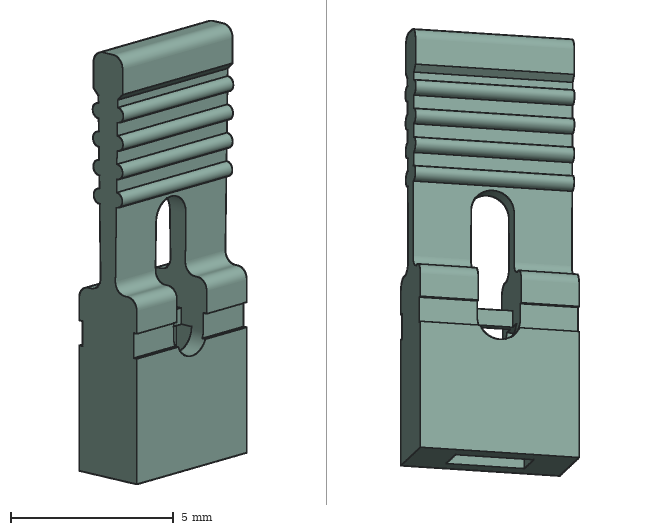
import cadquery as cq
import math

height = 13.5
width = 5.05
base_half = 2.39 / 2

groove_bottom = 4.0
groove_top = 4.79
groove_depth = 0.14
shoulder_top = 5.9
shoulder_radius = 0.38
neck_radius = 0.39

blade_half_low = 0.31
blade_half_high = 0.4
blade_low = shoulder_top + neck_radius
blade_high = 12.1

head_half = 0.61
head_low = 12.3
head_radius = 0.39

rib_count = 4
rib_radius = 0.24
rib_first = 8.9
rib_pitch = 0.9

slot_width = 1.36
slot_bottom = 3.59
slot_top = 8.52
bar_thickness = 0.3
bar_bottom = slot_bottom + slot_width / 2

cavity_thickness = 1.13
cavity_width = 2.48


def blade_half_at(z):
    """Half thickness of the tapered blade at height z."""
    share = (z - blade_low) / (blade_high - blade_low)
    return blade_half_low + share * (blade_half_high - blade_half_low)


def extrude_across(sketch):
    """Extrude an XZ outline over the width, centred on Y = 0."""
    return sketch.extrude(width / 2, both=True)


def make_body():
    """Half profile from base to head, mirrored about the blade's centre plane."""
    groove_half = base_half - groove_depth
    bend = math.sqrt(0.5)
    shoulder_x = base_half - shoulder_radius
    shoulder_z = shoulder_top - shoulder_radius
    neck_x = blade_half_low + neck_radius
    head_x = head_half - head_radius
    head_z = height - head_radius
    half = (
        cq.Workplane("XZ")
        .lineTo(base_half, 0)
        .lineTo(base_half, groove_bottom)
        .lineTo(groove_half, groove_bottom)
        .lineTo(groove_half, groove_top)
        .lineTo(base_half, groove_top)
        .lineTo(base_half, shoulder_z)
        .threePointArc(
            (shoulder_x + bend * shoulder_radius, shoulder_z + bend * shoulder_radius),
            (shoulder_x, shoulder_top),
        )
        .lineTo(neck_x, shoulder_top)
        .threePointArc(
            (neck_x - bend * neck_radius, blade_low - bend * neck_radius),
            (blade_half_low, blade_low),
        )
        .lineTo(blade_half_high, blade_high)
        .lineTo(head_half, head_low)
        .lineTo(head_half, head_z)
        .threePointArc(
            (head_x + bend * head_radius, head_z + bend * head_radius),
            (head_x, height),
        )
        .lineTo(0, height)
        .close()
    )
    half_body = extrude_across(half)
    return half_body.union(half_body.mirror("YZ"))


def make_ribs():
    """Round ribs centred on both faces of the blade."""
    ribs = cq.Workplane("XZ")
    for index in range(rib_count):
        z = rib_first + index * rib_pitch
        x = blade_half_at(z)
        rib_pair = cq.Workplane("XZ").pushPoints([(-x, z), (x, z)]).circle(rib_radius)
        ribs = ribs.add(extrude_across(rib_pair))
    return ribs.combine()


def make_window():
    """Round-ended slot along X, leaving the bar in place."""
    slot = (
        cq.Workplane("YZ")
        .center(0, (slot_bottom + slot_top) / 2)
        .slot2D(slot_top - slot_bottom, slot_width, 90)
        .extrude(base_half, both=True)
    )
    bar = (
        cq.Workplane("XY", origin=(0, 0, bar_bottom))
        .rect(bar_thickness, slot_width)
        .extrude(groove_top - bar_bottom)
    )
    return slot.cut(bar)


cavity = cq.Workplane("XY").rect(cavity_thickness, cavity_width).extrude(bar_bottom)

result = make_body().union(make_ribs()).cut(make_window()).cut(cavity)